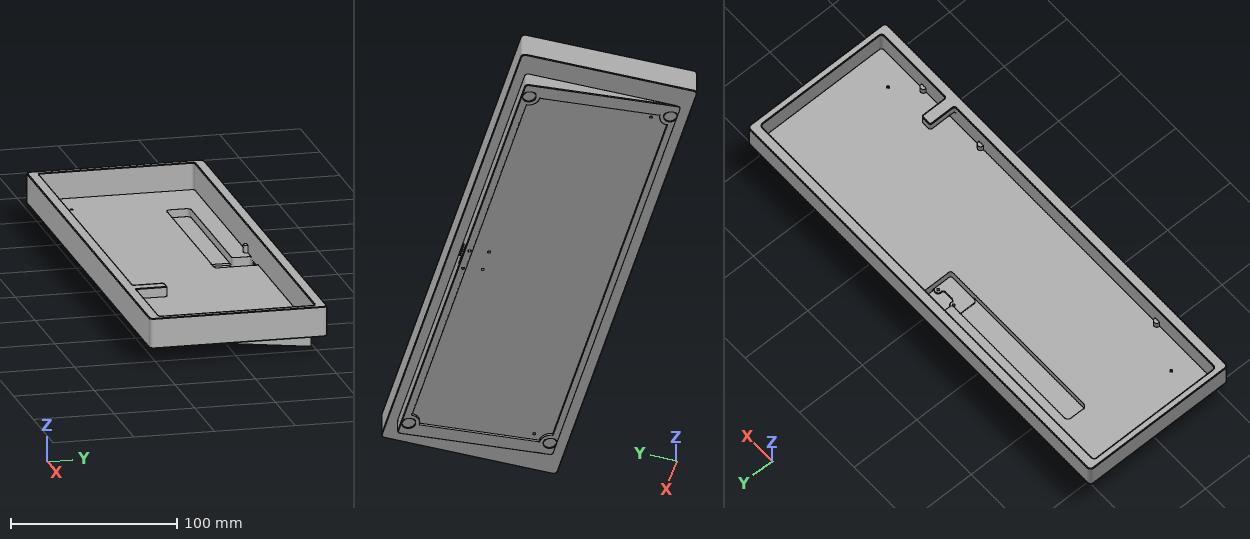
import cadquery as cq
import math

case_length = 314.8
case_width = 110.2
case_height = 19.0
case_corner = 2.8
cavity_length = 306.0
cavity_width = 96.5
cavity_corner = 2.0
floor_top = 2.0
edge_chamfer = 0.47

wedge_length = 286.5
wedge_width = 97.5
wedge_corner = 2.2
wedge_depth = 10.5
wedge_front_y = -wedge_width / 2
slope_run = wedge_width - edge_chamfer
slope_angle = math.degrees(math.atan(wedge_depth / slope_run))

recess_length = 268.2
recess_width = 88.8
recess_depth = 1.5
notch_radius = 6.5
pad_diameter = 8.2
pad_depth = 1.0

channel_left = -115.2
board_half_width = 9.0
channel_front = 21.5
channel_rear = 36.5
channel_bottom = -3.0
channel_corner = 2.8
bay_corner = 1.5
step_left = -14.8
step_bottom = -4.5
well_bottom = -5.7
well_front = 31.2
well_ledge_y = 35.0
well_neck_half_width = 5.5
well_corner = 2.5

screw_diameter = 1.6
screw_half_span = 7.08
screw_rows = (33.5, 45.5)
ledge_radius = 2.35

socket_width = 9.0
socket_height = 2.8
socket_z = -1.5

tongue_x = 90.3
tongue_width = 8.2
tongue_tip_y = -29.0
tongue_thickness = 6.3
tongue_corner = 1.5
tongue_root_fillet = 1.3

post_radius = 2.05
post_reach = 2.5
post_height = 4.7
rear_posts_x = (-19.0, 133.0)
front_posts_x = (-100.0, 61.7, 114.3)

pin_diameter = 1.65
pin_depth = 1.5
pin_half_span = 130.0
pin_y = -33.5


def box(x_min, x_max, y_min, y_max, z_min, z_max):
    """Axis-aligned block between the given limits."""
    block = cq.Workplane("XY").box(x_max - x_min, y_max - y_min, z_max - z_min, centered=False)
    return block.translate((x_min, y_min, z_min))


def rounded_box(x_min, x_max, y_min, y_max, z_min, z_max, radius):
    """Block with its four vertical edges rounded."""
    return box(x_min, x_max, y_min, y_max, z_min, z_max).edges("|Z").fillet(radius)


def centred_box(length, width, z_min, z_max, radius):
    """Rounded block centred on the Z axis."""
    return rounded_box(-length / 2, length / 2, -width / 2, width / 2, z_min, z_max, radius)


def tilt(shape):
    """Swing a shape down at the rear, from the level Z = 0 to the sloping underside."""
    pivot_left = (0, wedge_front_y, 0)
    pivot_right = (1, wedge_front_y, 0)
    return shape.rotate(pivot_left, pivot_right, -slope_angle)


def cylinders(points, diameter, z_min, z_max):
    """Upright cylinders of one diameter at the given points."""
    start = cq.Workplane("XY").workplane(offset=z_min)
    return start.pushPoints(points).circle(diameter / 2).extrude(z_max - z_min)


def make_body():
    """Solid case on its wedge, with lightly broken lower edges."""
    case = centred_box(case_length, case_width, 0, case_height, case_corner)
    case = case.faces("<Z").chamfer(edge_chamfer)
    wedge = centred_box(wedge_length, wedge_width, -2 * wedge_depth, floor_top, wedge_corner)
    below_slope = cq.Workplane("XY").rect(case_length, 2 * case_width).extrude(-3 * wedge_depth)
    wedge = wedge.cut(tilt(below_slope))
    wedge = wedge.faces("<Z").chamfer(edge_chamfer)
    return case.union(wedge)


def make_tray():
    """Body hollowed out around the tongue, with a chamfered rim."""
    cavity = centred_box(cavity_length, cavity_width, floor_top, case_height, cavity_corner)
    tray = make_body().cut(cavity).union(make_tongue())
    root_z = case_height - tongue_thickness / 2
    for side in (-1, 1):
        root = (tongue_x + side * tongue_width / 2, -cavity_width / 2, root_z)
        root_edge = cq.selectors.NearestToPointSelector(root)
        tray = tray.edges("|Z").edges(root_edge).fillet(tongue_root_fillet)
    return tray.faces(">Z").edges().chamfer(edge_chamfer)


def make_underside_recess():
    """Notched plate recess and foot pad recesses, square to the sloping underside."""
    corners = [
        (x_side * recess_length / 2, y_side * recess_width / 2)
        for x_side in (-1, 1)
        for y_side in (-1, 1)
    ]
    plate = cq.Workplane("XY").rect(recess_length, recess_width).extrude(recess_depth)
    plate = plate.cut(cylinders(corners, 2 * notch_radius, 0, recess_depth))
    pads = cylinders(corners, pad_diameter, 0, pad_depth)
    return tilt(plate.union(pads))


def make_board_pocket():
    """Channel, stepped board bay, well with screw ledges, screw holes and socket opening."""
    right = board_half_width
    rear = cavity_width / 2
    channel = rounded_box(
        channel_left, right, channel_front, channel_rear, channel_bottom, floor_top, channel_corner
    )
    step = rounded_box(
        step_left, right, channel_front, channel_rear, step_bottom, floor_top, channel_corner
    )
    bay = rounded_box(-right, right, channel_front, rear, step_bottom, floor_top, bay_corner)
    recess = channel.union(step).union(bay)
    inside_corner = cq.selectors.NearestToPointSelector((-right, channel_rear, floor_top))
    recess = recess.edges("|Z").edges(inside_corner).fillet(bay_corner)
    screws = [(side * screw_half_span, y) for side in (-1, 1) for y in screw_rows]
    neck = well_neck_half_width
    well = rounded_box(-right, right, well_ledge_y, rear, well_bottom, step_bottom, bay_corner)
    well_neck = rounded_box(-neck, neck, well_front, rear, well_bottom, step_bottom, well_corner)
    well = well.union(well_neck)
    well = well.cut(cylinders(screws, 2 * ledge_radius, well_bottom, step_bottom))
    holes = cylinders(screws, screw_diameter, -wedge_depth, step_bottom)
    socket = cq.Workplane("XZ").center(0, socket_z).slot2D(socket_width, socket_height)
    socket = socket.extrude(-wedge_width).intersect(
        box(-right, right, well_ledge_y, wedge_width, -wedge_depth, floor_top)
    )
    return recess.union(well).union(holes).union(socket)


def make_tongue():
    root_y = -(case_width + cavity_width) / 4
    left = tongue_x - tongue_width / 2
    right = tongue_x + tongue_width / 2
    bottom = case_height - tongue_thickness
    tongue = box(left, right, root_y, tongue_tip_y, bottom, case_height)
    return tongue.edges("|Z and >Y").fillet(tongue_corner)


def make_posts():
    """Posts standing on the floor, their round noses facing into the cavity."""
    wall_y = cavity_width / 2
    nose_y = wall_y - post_reach + post_radius
    points = [(x, nose_y) for x in rear_posts_x] + [(x, -nose_y) for x in front_posts_x]
    posts = cylinders(points, 2 * post_radius, floor_top, floor_top + post_height)
    for x, y in points:
        near_y, far_y = sorted((y, math.copysign(wall_y, y)))
        shank = box(x - post_radius, x + post_radius, near_y, far_y, floor_top, floor_top + post_height)
        posts = posts.union(shank)
    return posts


pin_holes = cylinders(
    [(-pin_half_span, pin_y), (pin_half_span, pin_y)], pin_diameter, floor_top - pin_depth, floor_top
)
result = make_tray().cut(make_underside_recess()).cut(make_board_pocket())
result = result.union(make_posts()).cut(pin_holes)